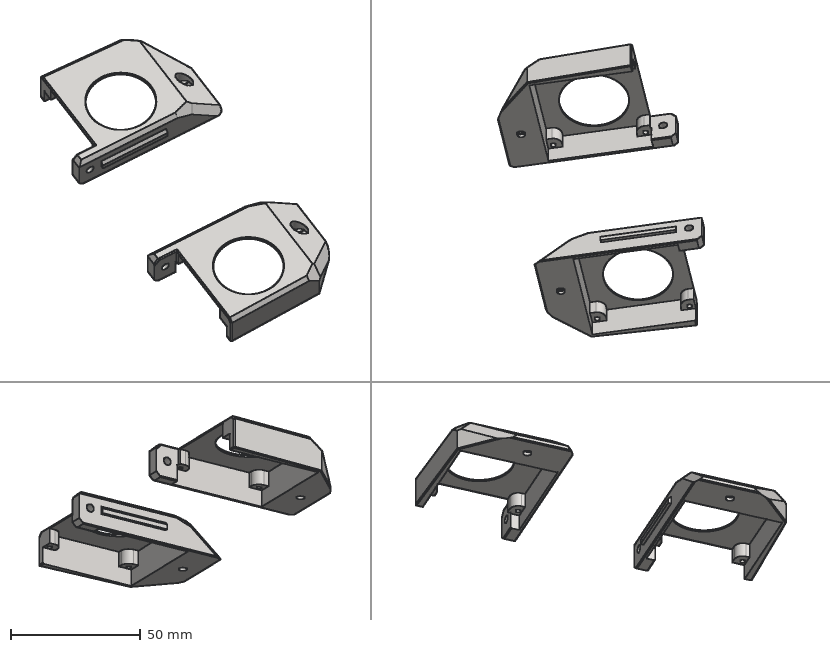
import cadquery as cq
import math


HEIGHT = 14.0
OUTER_X = -69.7
OUTER_X_REAR = -68.2
INNER_X = -25.0
REAR_Y = 33.0
FRONT_Y = -23.0
CREST_Y = 18.3
NOSE_HEIGHT = 2.0

LEG_WIDTH = 5.0
LEG_FRONT_Y = -33.0
LEG_INNER_X = INNER_X - LEG_WIDTH
LEG_HOLE_DIAMETER = 3.2
LEG_HOLE_Y = -28.0
LEG_HOLE_Z = 7.2

TOP_BEVEL = 1.7
LEG_BEVEL = 2.0
NOSE_BEVEL = 3.0
EDGE_CHAMFER = 0.5
BOTTOM_CHAMFER = 0.4
INNER_FACET_END_Y = 11.7
INNER_FACET_INSET = 3.9
OUTER_FACET_END_Y = 13.4
OUTER_FACET_INSET = 5.2

ROOF_THICKNESS = 1.0
POCKET_OUTER_X = -66.6
POCKET_INNER_X = -26.3
POCKET_REAR_Y = 17.7
POCKET_FRONT_Y = -23.4
ROOF_UNDERSIDE = HEIGHT - ROOF_THICKNESS

BOSS_DIAMETER = 7.0
BOSS_BOTTOM_Z = 6.8
BOSS_SIDE_INSET = 1.5
BOSS_END_INSET = 2.2
BOSS_HOLE_DIAMETER = 2.0
BOSS_HOLE_DEPTH = 3.9

FAN_MEAN_X = -46.5
FAN_SHIFT = 4.2
FAN_Y = -3.2
FAN_DIAMETER = 27.0
FAN_CHAMFER = 0.3

SCREW_X = -42.0
SCREW_Y = 25.5
SCREW_DIAMETER = 3.2
SCREW_HEAD_DIAMETER = 7.0
SCREW_HEAD_Z = 2.5
SCREW_STEP = 0.4

RIB_DEPTH = 1.3
RIB_BOTTOM_Z = 5.9
RIB_TOP_Z = 9.0
RIB_REAR_Y = 6.5

CUT_SIZE = 278.7


def slice_off(body, a, b, c, inside):
    """Remove everything beyond the plane through a, b and c, keeping the side of the point inside."""
    origin = cq.Vector(*a)
    along = cq.Vector(*b) - origin
    normal = along.cross(cq.Vector(*c) - origin)
    if normal.dot(cq.Vector(*inside) - origin) > 0:
        normal = normal * -1
    waste = cq.Workplane(cq.Plane(origin, along, normal)).rect(CUT_SIZE, CUT_SIZE).extrude(CUT_SIZE)
    return body.cut(waste)


def box_between(x_range, y_range, z_range):
    sizes = [high - low for low, high in (x_range, y_range, z_range)]
    return cq.Workplane("XY").box(*sizes, centered=False).translate((x_range[0], y_range[0], z_range[0]))


def upright_cylinder(x, y, diameter, bottom, top):
    return cq.Workplane("XY", origin=(x, y, bottom)).circle(diameter / 2).extrude(top - bottom)


def outer_wall_x(y):
    """X of the slightly tapered outer wall."""
    taper = (OUTER_X_REAR - OUTER_X) / (CREST_Y - FRONT_Y - EDGE_CHAMFER)
    return OUTER_X_REAR - taper * (CREST_Y - y)


def bevelled_block():
    diagonal_run = REAR_Y - CREST_Y
    block = (
        cq.Workplane("XY")
        .polyline([
            (outer_wall_x(FRONT_Y), FRONT_Y),
            (OUTER_X_REAR, CREST_Y),
            (OUTER_X_REAR + diagonal_run, REAR_Y),
            (INNER_X, REAR_Y),
            (INNER_X, LEG_FRONT_Y),
            (LEG_INNER_X, LEG_FRONT_Y),
            (LEG_INNER_X, FRONT_Y),
        ])
        .close()
        .extrude(HEIGHT)
        .faces("<Z").chamfer(BOTTOM_CHAMFER)
    )
    core = (FAN_MEAN_X, FAN_Y, HEIGHT / 2)
    shoulder = HEIGHT - TOP_BEVEL

    block = slice_off(
        block,
        (OUTER_X, CREST_Y, HEIGHT), (INNER_X, CREST_Y, HEIGHT), (INNER_X, REAR_Y, NOSE_HEIGHT),
        core,
    )

    block = slice_off(
        block,
        (INNER_X, FRONT_Y, shoulder), (INNER_X, CREST_Y, shoulder), (INNER_X - TOP_BEVEL, CREST_Y, HEIGHT),
        core,
    )
    block = slice_off(
        block,
        (outer_wall_x(FRONT_Y), FRONT_Y, shoulder),
        (OUTER_X_REAR, CREST_Y, shoulder),
        (OUTER_X_REAR + TOP_BEVEL, CREST_Y, HEIGHT),
        core,
    )

    slope_length = math.hypot(diagonal_run, HEIGHT - NOSE_HEIGHT)
    nose_drop = NOSE_BEVEL * slope_length / diagonal_run
    diagonal_shift = NOSE_BEVEL * math.sqrt(2)
    block = slice_off(
        block,
        (INNER_X - NOSE_BEVEL, CREST_Y, HEIGHT),
        (INNER_X - NOSE_BEVEL, REAR_Y, NOSE_HEIGHT),
        (INNER_X, CREST_Y, HEIGHT - nose_drop),
        core,
    )
    block = slice_off(
        block,
        (OUTER_X_REAR + diagonal_shift, CREST_Y, HEIGHT),
        (OUTER_X_REAR + diagonal_shift + diagonal_run, REAR_Y, NOSE_HEIGHT),
        (OUTER_X_REAR, CREST_Y, HEIGHT - nose_drop),
        core,
    )

    block = slice_off(
        block,
        (INNER_X - INNER_FACET_INSET, CREST_Y, HEIGHT),
        (INNER_X - TOP_BEVEL, INNER_FACET_END_Y, HEIGHT),
        (INNER_X, INNER_FACET_END_Y, shoulder),
        core,
    )
    facet_end_x = outer_wall_x(OUTER_FACET_END_Y)
    block = slice_off(
        block,
        (OUTER_X_REAR + OUTER_FACET_INSET, CREST_Y, HEIGHT),
        (facet_end_x + TOP_BEVEL, OUTER_FACET_END_Y, HEIGHT),
        (facet_end_x, OUTER_FACET_END_Y, shoulder),
        core,
    )

    for corner_z, step in ((HEIGHT, -LEG_BEVEL), (0, LEG_BEVEL)):
        block = slice_off(
            block,
            (INNER_X, LEG_FRONT_Y, corner_z + step),
            (LEG_INNER_X, LEG_FRONT_Y, corner_z + step),
            (INNER_X, LEG_FRONT_Y + LEG_BEVEL, corner_z),
            core,
        )
    return block


def chamfer_front_edges(block):
    """Chamfer the front edges of outer wall and roof, and the upper inner edges of the leg."""
    reach = 0.1
    upper_front = cq.selectors.BoxSelector(
        (OUTER_X - reach, FRONT_Y - reach, HEIGHT / 3),
        (LEG_INNER_X - reach, FRONT_Y + reach, HEIGHT + reach),
    )
    leg_top = cq.selectors.BoxSelector(
        (LEG_INNER_X - reach, LEG_FRONT_Y - reach, HEIGHT - LEG_BEVEL),
        (LEG_INNER_X + reach, FRONT_Y - 2 * reach, HEIGHT + reach),
    )
    return block.edges(upper_front + leg_top).chamfer(EDGE_CHAMFER)


def screw_boss(x, y, wall_x, wall_y):
    """Round boss filled out square to the two walls beside it."""
    radius = BOSS_DIAMETER / 2
    height = (BOSS_BOTTOM_Z, ROOF_UNDERSIDE)
    away_x = x + math.copysign(radius, x - wall_x)
    away_y = y + math.copysign(radius, y - wall_y)
    boss = upright_cylinder(x, y, BOSS_DIAMETER, *height)
    boss = boss.union(box_between(sorted((wall_x, away_x)), sorted((wall_y, y)), height))
    boss = boss.union(box_between(sorted((wall_x, x)), sorted((wall_y, away_y)), height))
    boss = boss.intersect(box_between((POCKET_OUTER_X, POCKET_INNER_X), (FRONT_Y, POCKET_REAR_Y), height))
    hole_top = BOSS_BOTTOM_Z + BOSS_HOLE_DEPTH
    return boss.cut(upright_cylinder(x, y, BOSS_HOLE_DIAMETER, BOSS_BOTTOM_Z, hole_top))


def pocket():
    x_range = (POCKET_OUTER_X, POCKET_INNER_X)
    lower = box_between(x_range, (POCKET_FRONT_Y, POCKET_REAR_Y), (0, BOSS_BOTTOM_Z))
    upper = box_between(x_range, (FRONT_Y, POCKET_REAR_Y), (BOSS_BOTTOM_Z, ROOF_UNDERSIDE))
    space = lower.union(upper)
    for wall_x, inward in ((POCKET_OUTER_X, 1), (POCKET_INNER_X, -1)):
        x = wall_x + inward * BOSS_SIDE_INSET
        space = space.cut(screw_boss(x, POCKET_REAR_Y - BOSS_END_INSET, wall_x, POCKET_REAR_Y))
        space = space.cut(screw_boss(x, FRONT_Y + BOSS_END_INSET, wall_x, FRONT_Y))
    return space


def fan_opening(x):
    hole = upright_cylinder(x, FAN_Y, FAN_DIAMETER, ROOF_UNDERSIDE, HEIGHT)
    rim = (
        cq.Workplane("XY", origin=(x, FAN_Y, HEIGHT))
        .circle(FAN_DIAMETER / 2 + FAN_CHAMFER)
        .extrude(-FAN_CHAMFER, taper=45)
    )
    return hole.union(rim)


def nose_screw_hole():
    """Head recess, then a slot and a square that step down to the round hole."""
    slot_floor = SCREW_HEAD_Z - SCREW_STEP
    square_floor = slot_floor - SCREW_STEP
    half = SCREW_DIAMETER / 2
    head_radius = SCREW_HEAD_DIAMETER / 2
    x_range = (SCREW_X - half, SCREW_X + half)
    head = upright_cylinder(SCREW_X, SCREW_Y, SCREW_HEAD_DIAMETER, SCREW_HEAD_Z, HEIGHT)
    slot = box_between(
        x_range, (SCREW_Y - head_radius, SCREW_Y + head_radius), (slot_floor, SCREW_HEAD_Z)
    ).intersect(upright_cylinder(SCREW_X, SCREW_Y, SCREW_HEAD_DIAMETER, slot_floor, SCREW_HEAD_Z))
    square = box_between(x_range, (SCREW_Y - half, SCREW_Y + half), (square_floor, slot_floor))
    shank = upright_cylinder(SCREW_X, SCREW_Y, SCREW_DIAMETER, 0, square_floor)
    return head.union(slot).union(square).union(shank)


def leg_hole():
    return (
        cq.Workplane("YZ", origin=(LEG_INNER_X, LEG_HOLE_Y, LEG_HOLE_Z))
        .circle(LEG_HOLE_DIAMETER / 2)
        .extrude(LEG_WIDTH)
    )


def wall_rib():
    """Straight rib with a 45 degree top that slopes down away from the wall."""
    return (
        cq.Workplane("XZ", origin=(INNER_X, RIB_REAR_Y, 0))
        .polyline([
            (0, RIB_BOTTOM_Z),
            (RIB_DEPTH, RIB_BOTTOM_Z),
            (RIB_DEPTH, RIB_TOP_Z - RIB_DEPTH),
            (0, RIB_TOP_Z),
        ])
        .close()
        .extrude(RIB_REAR_Y - FRONT_Y)
    )


def left_housing(fan_x):
    """Housing at negative X with its fan opening centred on fan_x."""
    body = chamfer_front_edges(bevelled_block())
    for opening in (pocket(), fan_opening(fan_x), nose_screw_hole(), leg_hole()):
        body = body.cut(opening)
    return body.union(wall_rib())


housing_left = left_housing(FAN_MEAN_X + FAN_SHIFT)
housing_right = left_housing(FAN_MEAN_X - FAN_SHIFT).mirror("YZ")

result = cq.Compound.makeCompound([*housing_left.solids().vals(), *housing_right.solids().vals()])